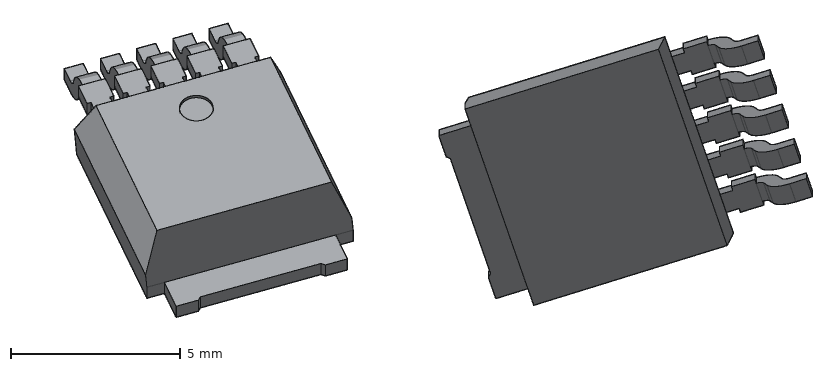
import cadquery as cq
import math

overall_length = 9.9
left_end = -overall_length / 2
right_end = overall_length / 2

sheet_thickness = 0.5

body_width = 6.5
body_height = 2.32
parting_height = 0.92
land_height = 0.03
parting_left = left_end + 2.68
bottom_left = left_end + 2.88
top_left = left_end + 3.18
top_right = left_end + 8.4
body_right = left_end + 8.9
side_inset = 0.5

mark_diameter = 1.0
mark_depth = 0.1
mark_x = left_end + 4.3

lead_count = 5
lead_pitch = 1.14
lead_width = 0.6
shoulder_width = 0.85
shoulder_start = left_end + 1.555
shoulder_end = left_end + 2.29
lead_rise = 0.94
foot_length = 0.52
inner_radius = 0.25
outer_radius = inner_radius + sheet_thickness
bend_angle = math.radians(70)

tab_width = 5.4
tab_corner_chamfer = 0.02
notch_depth = 0.1
notch_floor_width = 3.8
notch_mouth_width = notch_floor_width + 2 * notch_depth


def make_body():
    """Moulded block tapering to its top on all four sides, undercut below the leads."""
    lengthwise_block = (
        cq.Workplane("XZ")
        .polyline([
            (bottom_left, 0),
            (body_right, 0),
            (body_right, sheet_thickness),
            (top_right, body_height),
            (top_left, body_height),
            (parting_left, parting_height),
            (parting_left, parting_height - land_height),
        ])
        .close()
        .extrude(body_width / 2, both=True)
    )
    half_width = body_width / 2
    top_half_width = half_width - side_inset
    crosswise_block = (
        cq.Workplane("YZ", origin=(left_end, 0, 0))
        .polyline([
            (-half_width, 0),
            (half_width, 0),
            (half_width, parting_height),
            (top_half_width, body_height),
            (-top_half_width, body_height),
            (-half_width, parting_height),
        ])
        .close()
        .extrude(overall_length)
    )
    mark = (
        cq.Workplane("XY", origin=(mark_x, 0, body_height - mark_depth))
        .circle(mark_diameter / 2)
        .extrude(mark_depth)
    )
    return lengthwise_block.intersect(crosswise_block).cut(mark)


def arc_point(centre, radius, angle):
    """Point on an arc, with the angle measured from straight up, clockwise."""
    return (centre[0] + radius * math.sin(angle), centre[1] + radius * math.cos(angle))


def make_lead(y):
    """Gull-wing lead with a wide shoulder, ending on the sloped face of the body."""
    lead_top = lead_rise + sheet_thickness
    radius_sum = inner_radius + outer_radius
    ramp_length = (lead_rise - radius_sum * (1 - math.cos(bend_angle))) / math.sin(bend_angle)
    bend_span = radius_sum * math.sin(bend_angle) + ramp_length * math.cos(bend_angle)
    foot_bend = left_end + foot_length
    low_centre = (foot_bend, outer_radius)
    high_centre = (foot_bend + bend_span, lead_top - outer_radius)
    low_end = math.pi - bend_angle
    low_middle = math.pi - bend_angle / 2

    strip = (
        cq.Workplane("XZ", origin=(0, y, 0))
        .moveTo(left_end, 0)
        .lineTo(foot_bend, 0)
        .threePointArc(
            arc_point(low_centre, outer_radius, low_middle),
            arc_point(low_centre, outer_radius, low_end),
        )
        .lineTo(*arc_point(high_centre, inner_radius, -bend_angle))
        .threePointArc(
            arc_point(high_centre, inner_radius, -bend_angle / 2),
            arc_point(high_centre, inner_radius, 0),
        )
        .lineTo(top_left, lead_rise)
        .lineTo(top_left, lead_top)
        .lineTo(high_centre[0], lead_top)
        .threePointArc(
            arc_point(high_centre, outer_radius, -bend_angle / 2),
            arc_point(high_centre, outer_radius, -bend_angle),
        )
        .lineTo(*arc_point(low_centre, inner_radius, low_end))
        .threePointArc(
            arc_point(low_centre, inner_radius, low_middle),
            arc_point(low_centre, inner_radius, math.pi),
        )
        .lineTo(left_end, sheet_thickness)
        .close()
        .extrude(lead_width / 2, both=True)
    )
    shoulder = (
        cq.Workplane("XY", origin=(shoulder_start, y, lead_rise))
        .box(shoulder_end - shoulder_start, shoulder_width, sheet_thickness, centered=(False, True, False))
    )
    beyond_slope = (
        cq.Workplane("XZ")
        .polyline([(parting_left, parting_height), (top_left, body_height), (top_left, parting_height)])
        .close()
        .extrude(body_width / 2, both=True)
    )
    return strip.union(shoulder).cut(beyond_slope)


def make_tab():
    """Flat tab against the back of the body, with chamfered corners and a shallow edge notch."""
    notch_floor = right_end - notch_depth
    corner_start = right_end - tab_corner_chamfer
    corner_end = tab_width / 2 - tab_corner_chamfer
    return (
        cq.Workplane("XY")
        .polyline([
            (body_right, -tab_width / 2),
            (corner_start, -tab_width / 2),
            (right_end, -corner_end),
            (right_end, -notch_mouth_width / 2),
            (notch_floor, -notch_floor_width / 2),
            (notch_floor, notch_floor_width / 2),
            (right_end, notch_mouth_width / 2),
            (right_end, corner_end),
            (corner_start, tab_width / 2),
            (body_right, tab_width / 2),
        ])
        .close()
        .extrude(sheet_thickness)
    )


body = make_body()
tab = make_tab()
leads = []
for index in range(lead_count):
    lead_y = (index - (lead_count - 1) / 2) * lead_pitch
    leads.append(make_lead(lead_y).val())

result = cq.Compound.makeCompound([body.val(), tab.val(), *leads])